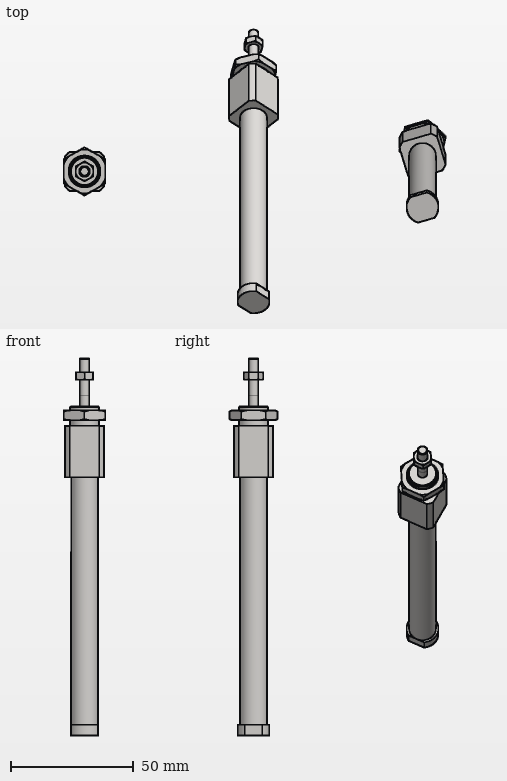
import cadquery as cq
import math

total_height = 153.5
thread_length = 15.0
rod_projection = 19.5
collar_length = 8.0
head_height = 21.0
cap_height = 4.5

collar_top = total_height - rod_projection
head_top = collar_top - collar_length
head_bottom = head_top - head_height
thread_bottom = total_height - thread_length

tube_diameter = 11.0
cap_diameter = 13.0
head_width = 16.0
head_corner_diameter = 20.0
collar_diameter = 12.0
collar_chamfer = 0.5

rod_diameter = 4.0
thread_diameter = rod_diameter
rod_chamfer = 0.3
rod_socket_depth = collar_length

nut_chamfer_angle = math.radians(30)

mount_nut_flats = 17.0
mount_nut_height = 4.0
mount_nut_chamfer = 0.9
mount_nut_countersink = 0.5
mount_nut_gap = 2.3
mount_nut_bottom = head_top + mount_nut_gap

rod_nut_flats = 7.0
rod_nut_height = 3.2
rod_nut_chamfer = 0.45
rod_nut_countersink = 0.2
rod_nut_setback = 5.6
rod_nut_bottom = total_height - rod_nut_setback - rod_nut_height


def cylinder(diameter, bottom, top):
    """Upright round bar on the Z axis between two heights."""
    return cq.Workplane("XY").workplane(offset=bottom).circle(diameter / 2).extrude(top - bottom)


def make_body():
    """Tube with its flatted end cap, square head and threaded collar."""
    tube = cylinder(tube_diameter, 0, head_bottom)

    cap_stock = cq.Workplane("XY").box(tube_diameter, cap_diameter, cap_height, centered=(True, True, False))
    cap = cylinder(cap_diameter, 0, cap_height).intersect(cap_stock)

    head_stock = (
        cq.Workplane("XY")
        .workplane(offset=head_bottom)
        .rect(head_width, head_width)
        .extrude(head_height)
    )
    head = cylinder(head_corner_diameter, head_bottom, head_top).intersect(head_stock)

    collar = cylinder(collar_diameter, head_top, collar_top).faces(">Z").chamfer(collar_chamfer)
    rod_socket = cylinder(rod_diameter, collar_top - rod_socket_depth, collar_top)
    return tube.union(cap).union(head).union(collar).cut(rod_socket)


def make_rod():
    """Piston rod with its threaded end, seated in the collar socket."""
    shank = cylinder(rod_diameter, collar_top - rod_socket_depth, thread_bottom)
    thread = cylinder(thread_diameter, thread_bottom, total_height).faces(">Z").chamfer(rod_chamfer)
    return shank.union(thread, clean=False)


def make_nut(flats, bore, bottom, height, chamfer, countersink):
    """Hexagon nut, corners on the Y axis, corners chamfered and bore countersunk at both faces."""
    corner_radius = flats / math.sqrt(3)
    hexagon = (
        cq.Workplane("XY")
        .polygon(6, 2 * corner_radius)
        .extrude(height)
        .rotate((0, 0, 0), (0, 0, 1), 90)
    )
    chamfer_drop = chamfer * math.tan(nut_chamfer_angle)
    chamfer_envelope = (
        cylinder(2 * corner_radius, 0, height)
        .faces(">Z")
        .chamfer(chamfer_drop, chamfer)
        .faces("<Z")
        .chamfer(chamfer_drop, chamfer)
    )
    bored = hexagon.intersect(chamfer_envelope).cut(cylinder(bore, 0, height))
    for face_z, inward in ((0, 1), (height, -1)):
        countersink_cut = cq.Solid.makeCone(
            bore / 2 + countersink,
            bore / 2,
            countersink,
            pnt=cq.Vector(0, 0, face_z),
            dir=cq.Vector(0, 0, inward),
        )
        bored = bored.cut(cq.Workplane(countersink_cut))
    return bored.translate((0, 0, bottom))


body = make_body()
rod = make_rod()
mount_nut = make_nut(
    mount_nut_flats,
    collar_diameter,
    mount_nut_bottom,
    mount_nut_height,
    mount_nut_chamfer,
    mount_nut_countersink,
)
rod_nut = make_nut(
    rod_nut_flats,
    thread_diameter,
    rod_nut_bottom,
    rod_nut_height,
    rod_nut_chamfer,
    rod_nut_countersink,
)

result = cq.Compound.makeCompound([body.val(), rod.val(), mount_nut.val(), rod_nut.val()])